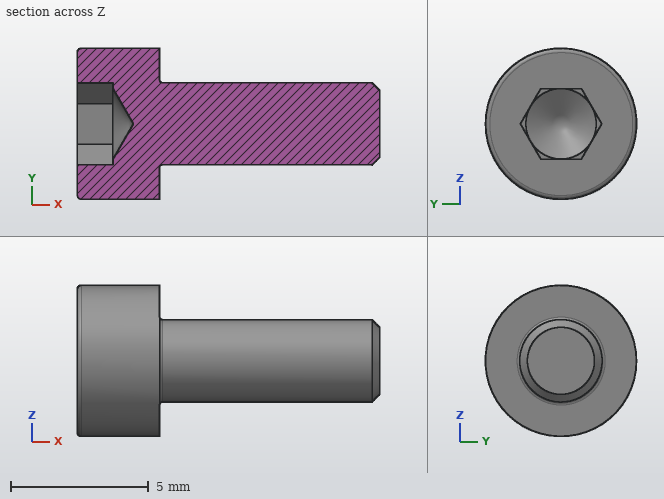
import cadquery as cq
import math

thread_diameter = 3.0
shank_length = 8.0
head_diameter = 5.5
head_height = thread_diameter
head_edge_radius = 0.15
neck_fillet_radius = 0.1
tip_chamfer_length = 0.28
tip_chamfer_depth = 0.28

socket_across_flats = 2.56
socket_depth = 1.3
socket_cone_angle = 120.0

head_radius = head_diameter / 2
shank_radius = thread_diameter / 2
total_length = head_height + shank_length


def make_body():
    """Revolve the half profile of head and shank about the X axis."""
    diagonal = math.sqrt(0.5)
    head_arc_middle = (
        head_edge_radius * (1 - diagonal),
        head_radius - head_edge_radius * (1 - diagonal),
    )
    neck_arc_middle = (
        head_height + neck_fillet_radius * (1 - diagonal),
        shank_radius + neck_fillet_radius * (1 - diagonal),
    )
    profile = (
        cq.Workplane("XY")
        .moveTo(0, 0)
        .lineTo(0, head_radius - head_edge_radius)
        .threePointArc(head_arc_middle, (head_edge_radius, head_radius))
        .lineTo(head_height, head_radius)
        .lineTo(head_height, shank_radius + neck_fillet_radius)
        .threePointArc(neck_arc_middle, (head_height + neck_fillet_radius, shank_radius))
        .lineTo(total_length - tip_chamfer_length, shank_radius)
        .lineTo(total_length, shank_radius - tip_chamfer_depth)
        .lineTo(total_length, 0)
        .close()
    )
    return profile.revolve(360, (0, 0, 0), (1, 0, 0))


def make_socket():
    """Hexagonal prism with corners on +Y and -Y, ending in a cone as wide as the flats."""
    across_corners = socket_across_flats / math.cos(math.radians(30))
    cone_radius = socket_across_flats / 2
    cone_height = cone_radius / math.tan(math.radians(socket_cone_angle / 2))
    prism = cq.Workplane("YZ").polygon(6, across_corners).extrude(socket_depth)
    cone = (
        cq.Workplane("XY")
        .moveTo(socket_depth, 0)
        .lineTo(socket_depth, cone_radius)
        .lineTo(socket_depth + cone_height, 0)
        .close()
        .revolve(360, (0, 0, 0), (1, 0, 0))
    )
    return prism.union(cone)


result = make_body().cut(make_socket())